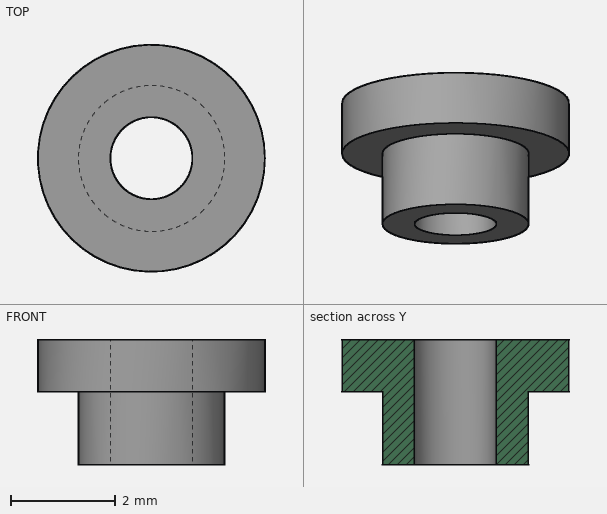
import cadquery as cq

flange_diameter = 4.35
flange_thickness = 1.0
sleeve_diameter = 2.8
bore_diameter = 1.565
total_height = 2.4

sleeve_length = total_height - flange_thickness

sleeve = (
    cq.Workplane("XY")
    .workplane(offset=-total_height / 2)
    .circle(sleeve_diameter / 2)
    .extrude(sleeve_length)
)

flanged_sleeve = (
    sleeve.faces(">Z")
    .workplane()
    .circle(flange_diameter / 2)
    .extrude(flange_thickness)
)

result = flanged_sleeve.faces(">Z").workplane().hole(bore_diameter)